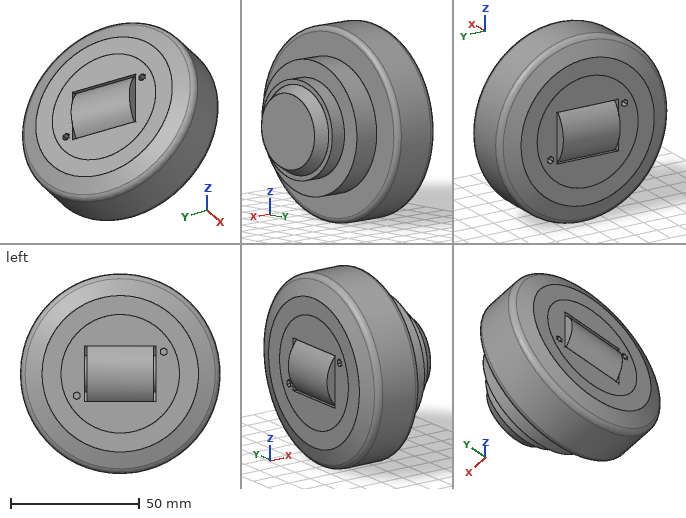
import cadquery as cq
import math

overall_length = 48.0

wheel_radius = 38.85
wheel_width = 23.0
bore_radius = 23.1
face_radius = 30.45
cone_depth = 3.3
front_fillet = 2.9
rear_fillet = 2.1

flange_radius = 27.05
flange_end = 33.6
neck_radius = 20.0
neck_end = 40.1
tip_base_radius = 17.95
tip_angle = 30.0

roller_radius = 14.85
roller_length = 25.95
roller_protrusion = 3.0
pin_radius = 7.1
roller_axis_x = roller_radius - roller_protrusion
hub_end = overall_length - roller_protrusion

pocket_length = 28.0
pocket_height = 21.45

hole_radius = 1.5
hole_depth = 3.9
hole_y = 16.9
hole_z = 8.55


def disc(radius, start, end):
    """Cylinder along X from start to end."""
    return cq.Workplane("YZ", origin=(start, 0, 0)).circle(radius).extrude(end - start)


def cross_cylinder(radius, length):
    """Cylinder along Y on the roller axis, centred on Y = 0."""
    plane = cq.Workplane("XZ", origin=(roller_axis_x, length / 2, 0))
    return plane.circle(radius).extrude(length)


def make_wheel():
    """Ring with a conical front, rounded outer edges and a plain bore."""
    profile = [
        (0, bore_radius),
        (0, face_radius),
        (cone_depth, wheel_radius),
        (wheel_width, wheel_radius),
        (wheel_width, bore_radius),
    ]
    wheel = cq.Workplane("XY").polyline(profile).close().revolve(360, (0, 0, 0), (1, 0, 0))
    outer_edge = cq.selectors.RadiusNthSelector(-1)
    wheel = wheel.faces(">X").edges(outer_edge).fillet(rear_fillet)
    front_edge = cq.selectors.NearestToPointSelector((cone_depth, 0, 0))
    return wheel.edges("%CIRCLE").edges(front_edge).fillet(front_fillet)


def make_roller_pocket():
    """Round cavity around the roller, opening through a rectangular mouth."""
    cavity = cross_cylinder(roller_radius, pocket_length)
    cavity = cavity.intersect(disc(wheel_radius, 0, hub_end))
    mouth = cq.Workplane("XY").box(
        roller_axis_x, pocket_length, pocket_height, centered=(False, True, True)
    )
    return cavity.union(mouth)


def make_hex_hole():
    """Hexagonal prism along X with two corners pointing along Z."""
    hexagon = cq.Workplane("YZ").polygon(6, 2 * hole_radius).extrude(hole_depth)
    return hexagon.rotate((0, 0, 0), (1, 0, 0), 90)


def make_hub():
    """Stepped hub with a tapered tip, the roller pocket and two face holes."""
    tip_end_radius = tip_base_radius - (hub_end - neck_end) * math.tan(math.radians(tip_angle))
    profile = [
        (0, 0),
        (0, bore_radius),
        (wheel_width, bore_radius),
        (wheel_width, flange_radius),
        (flange_end, flange_radius),
        (flange_end, neck_radius),
        (neck_end, neck_radius),
        (neck_end, tip_base_radius),
        (hub_end, tip_end_radius),
        (hub_end, 0),
    ]
    hub = cq.Workplane("XY").polyline(profile).close().revolve(360, (0, 0, 0), (1, 0, 0))
    hub = hub.cut(make_roller_pocket())
    for side in (-1, 1):
        hole = make_hex_hole().translate((0, side * hole_y, -side * hole_z))
        hub = hub.cut(hole)
    return hub


def make_pin():
    """Pin spanning the pocket from wall to wall."""
    return cross_cylinder(pin_radius, pocket_length)


def make_roller():
    """Roller bored to fit the pin."""
    return cross_cylinder(roller_radius, roller_length).cut(make_pin())


wheel = make_wheel()
hub = make_hub()
roller = make_roller()
pin = make_pin()

result = cq.Compound.makeCompound([wheel.val(), hub.val(), roller.val(), pin.val()])